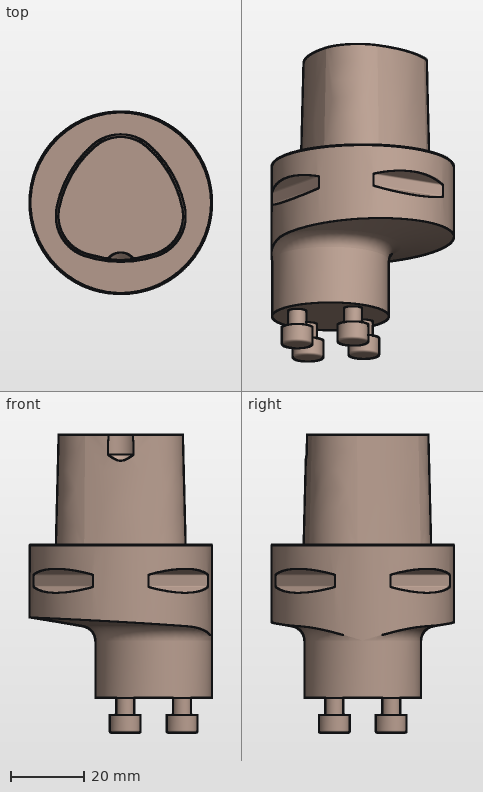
import cadquery as cq
import math


DIAGONALS = (45.0, 135.0, 225.0, 315.0)

TAPER_LENGTH = 30.0
FLAT_DISTANCE = 16.2
LOBE_DISTANCE = 18.75
LOBE_RADIUS = 11.6
TAPER_ON_DIAMETER = 1.0 / 20.0
TAPER_INSET = TAPER_LENGTH * TAPER_ON_DIAMETER / 2
LOBE_DIRECTIONS = (-30.0, 90.0, 210.0)

NOTCH_RADIUS = 4.3
NOTCH_INNER_Y = -13.6
NOTCH_STRAIGHT_DEPTH = 5.5
NOTCH_TIP_DEPTH = 3.5

FLANGE_RADIUS = 25.0
FLANGE_EDGE_CHAMFER = 0.3
FLANGE_RIM_HEIGHT = 20.0

GROOVE_FLAT_DISTANCE = 22.2
GROOVE_CENTER_Z = -10.0
GROOVE_FLAT_WIDTH = 3.35
GROOVE_CORNER_RADIUS = 0.5
GROOVE_OVERSHOOT = 1.0
GROOVE_FLANK_ANGLE = 30.0

BOSS_RADIUS = 16.0
BOSS_BOTTOM_Z = -42.0
BOSS_CENTER_X = FLANGE_RADIUS - BOSS_RADIUS
UNDERSIDE_CONE_ANGLE = 9.5
BOSS_FILLET_RADIUS = 4.0

SCREW_CIRCLE_RADIUS = 11.0
SCREW_SHANK_RADIUS = 2.5
SCREW_HEAD_RADIUS = 4.25
SCREW_HEAD_HEIGHT = 4.9
SCREW_HEAD_FILLET = 0.6
SCREW_NECK_FILLET = 0.25
SCREW_TIP_Z = -51.59


def polar_point(radius, direction):
    a = math.radians(direction)
    return radius * math.cos(a), radius * math.sin(a)


def polygon_profile(inset):
    """Rounded three-lobed outline of tangent arcs, moved inward by the inset.

    Three small lobe arcs alternate with three large, nearly flat arcs that face away from them.
    """
    lobe_offset = LOBE_DISTANCE - LOBE_RADIUS
    lobe_across = lobe_offset * math.sin(math.radians(60))
    lobe_along = lobe_offset * math.cos(math.radians(60))
    depth = FLAT_DISTANCE - lobe_along
    flat_radius = (lobe_across**2 + depth**2 - LOBE_RADIUS**2) / (2 * (depth - LOBE_RADIUS))
    flat_center = flat_radius - FLAT_DISTANCE
    contact = math.atan2(lobe_across, lobe_along + flat_center)

    seam_across = (flat_radius - inset) * math.sin(contact)
    seam_along = (flat_radius - inset) * math.cos(contact) - flat_center
    seam_radius = math.hypot(seam_across, seam_along)
    lobe_half_angle = 60.0 - math.degrees(math.atan2(seam_across, seam_along))

    start = polar_point(seam_radius, LOBE_DIRECTIONS[0] - lobe_half_angle)
    outline = cq.Workplane("XY").moveTo(*start)
    for direction in LOBE_DIRECTIONS:
        lobe_tip = polar_point(LOBE_DISTANCE - inset, direction)
        lobe_end = polar_point(seam_radius, direction + lobe_half_angle)
        flat_middle = polar_point(FLAT_DISTANCE - inset, direction + 60)
        flat_end = polar_point(seam_radius, direction + 120 - lobe_half_angle)
        outline = outline.threePointArc(lobe_tip, lobe_end).threePointArc(flat_middle, flat_end)
    return outline.close().wire().val()


def make_shank():
    base = polygon_profile(0.0)
    top = polygon_profile(TAPER_INSET).translate(cq.Vector(0, 0, TAPER_LENGTH))
    return cq.Workplane(cq.Solid.makeLoft([base, top], True))


def make_notch():
    """Drilled pocket with a conical tip, its axis parallel to Z."""
    tip_base_z = TAPER_LENGTH - NOTCH_STRAIGHT_DEPTH
    return (
        cq.Workplane("XZ")
        .moveTo(0, TAPER_LENGTH)
        .lineTo(NOTCH_RADIUS, TAPER_LENGTH)
        .lineTo(NOTCH_RADIUS, tip_base_z)
        .lineTo(0, tip_base_z - NOTCH_TIP_DEPTH)
        .close()
        .revolve(360, (0, 0, 0), (0, 1, 0))
        .translate((0, NOTCH_INNER_Y - NOTCH_RADIUS, 0))
    )


def make_body():
    """Flange and boss: a solid turned about the boss axis, trimmed to the flange cylinder."""
    far_radius = FLANGE_RADIUS + BOSS_CENTER_X
    slope = math.radians(UNDERSIDE_CONE_ANGLE)
    cone_foot_z = -FLANGE_RIM_HEIGHT - (far_radius - BOSS_RADIUS) * math.tan(slope)

    turn = math.pi / 2 - slope
    tangent_length = BOSS_FILLET_RADIUS * math.tan(turn / 2)
    fillet_center_x = BOSS_RADIUS + BOSS_FILLET_RADIUS
    fillet_center_z = cone_foot_z - tangent_length
    middle = math.pi - turn / 2
    fillet_middle = (
        fillet_center_x + BOSS_FILLET_RADIUS * math.cos(middle),
        fillet_center_z + BOSS_FILLET_RADIUS * math.sin(middle),
    )
    cone_start = (
        BOSS_RADIUS + tangent_length * math.cos(slope),
        cone_foot_z + tangent_length * math.sin(slope),
    )
    turned = (
        cq.Workplane("XZ")
        .moveTo(0, 0)
        .lineTo(0, BOSS_BOTTOM_Z)
        .lineTo(BOSS_RADIUS, BOSS_BOTTOM_Z)
        .lineTo(BOSS_RADIUS, fillet_center_z)
        .threePointArc(fillet_middle, cone_start)
        .lineTo(far_radius, -FLANGE_RIM_HEIGHT)
        .lineTo(far_radius, 0)
        .close()
        .revolve(360, (0, 0, 0), (0, 1, 0))
        .translate((BOSS_CENTER_X, 0, 0))
    )
    flange_cylinder = (
        cq.Workplane("XY")
        .circle(FLANGE_RADIUS)
        .extrude(BOSS_BOTTOM_Z)
        .faces(">Z")
        .chamfer(FLANGE_EDGE_CHAMFER)
    )
    return turned.intersect(flange_cylinder)


def make_groove(direction):
    """Straight groove with sloping flanks, cut across the rim in the given direction."""
    outer = FLANGE_RADIUS + GROOVE_OVERSHOOT
    half_flat = GROOVE_FLAT_WIDTH / 2
    rise = (outer - GROOVE_FLAT_DISTANCE) * math.tan(math.radians(GROOVE_FLANK_ANGLE))
    return (
        cq.Workplane("XZ")
        .moveTo(GROOVE_FLAT_DISTANCE, GROOVE_CENTER_Z - half_flat)
        .lineTo(outer, GROOVE_CENTER_Z - half_flat - rise)
        .lineTo(outer, GROOVE_CENTER_Z + half_flat + rise)
        .lineTo(GROOVE_FLAT_DISTANCE, GROOVE_CENTER_Z + half_flat)
        .close()
        .extrude(FLANGE_RADIUS, both=True)
        .faces("<X")
        .edges("|Y")
        .fillet(GROOVE_CORNER_RADIUS)
        .rotate((0, 0, 0), (0, 0, 1), direction)
    )


def make_screw(direction):
    """Cylinder-head screw hanging below the boss, with a small fillet where shank meets head."""
    head = (
        cq.Workplane("XY", origin=(0, 0, SCREW_TIP_Z))
        .circle(SCREW_HEAD_RADIUS)
        .extrude(SCREW_HEAD_HEIGHT)
        .faces("<Z")
        .edges()
        .fillet(SCREW_HEAD_FILLET)
    )
    shank_length = BOSS_BOTTOM_Z - SCREW_TIP_Z - SCREW_HEAD_HEIGHT
    screw = head.faces(">Z").workplane().circle(SCREW_SHANK_RADIUS).extrude(shank_length)
    head_top_z = SCREW_TIP_Z + SCREW_HEAD_HEIGHT
    neck_edge = cq.selectors.NearestToPointSelector((0, 0, head_top_z))
    screw = screw.edges(neck_edge).fillet(SCREW_NECK_FILLET)
    x, y = polar_point(SCREW_CIRCLE_RADIUS, direction)
    return screw.translate((BOSS_CENTER_X + x, y, 0))


result = make_body().union(make_shank().cut(make_notch()))
for groove_direction in DIAGONALS:
    result = result.cut(make_groove(groove_direction))
for screw_direction in DIAGONALS:
    result = result.union(make_screw(screw_direction))